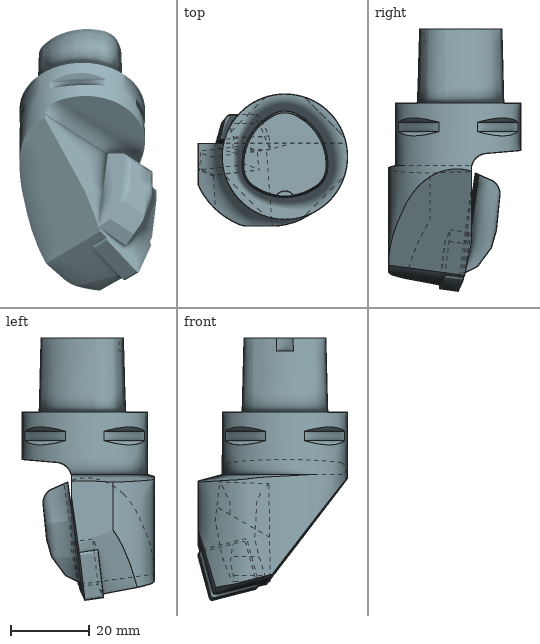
import cadquery as cq
import math


shank_length = 18.95
lobe_reach = 11.65
flank_reach = 10.45
lobe_radius = 6.35
shank_taper = math.degrees(math.atan(0.025))
notch_diameter = 5.15
notch_centre_y = -11.3
notch_depth = 3.4

collar_diameter = 32.0
collar_radius = collar_diameter / 2
collar_height = 15.95
groove_z = -6.1
groove_floor_distance = 14.3
groove_floor_height = 2.35
groove_mouth_height = 4.55
groove_count = 4

head_left = -22.2
head_front = -17.75
head_back = 3.4
head_side_end_y = -7.25
head_bottom = -50.9
shoulder_angle = 15.0
blend_angle = 30.0
blend_start_x = -3.35

chip_roof_rim_z = -12.1
chip_roof_angle = 5.0
chip_corner_radius = 4.0

rake_slope_x = 0.08
rake_slope_z = 0.14
rake_start_z = -21.5

insert_size = 12.7
insert_thickness = 4.8
insert_corner_radius = 0.8
insert_turn = 14.5
insert_tip_x = -19.1
insert_tip_z = -48.25

clamp_height = 7.0
clamp_edge_radius = 3.0
clamp_side_draft = 20.0
clamp_left = 1.55
clamp_right = 15.4
clamp_top = 34.85
clamp_nose = 2.0
clamp_tail_left = 3.35

rake_y_at_tip = (
    head_back
    + rake_slope_x * (insert_tip_x - head_left)
    + rake_slope_z * (insert_tip_z - rake_start_z)
)
insert_tip = cq.Vector(insert_tip_x, rake_y_at_tip, insert_tip_z)
rake_plane = cq.Plane(
    origin=insert_tip,
    xDir=(1, rake_slope_x, 0),
    normal=(rake_slope_x, -1, rake_slope_z),
)
big = 100.5


def polar(radius, angle):
    """Point in the XY plane at an angle in degrees."""
    return (radius * math.cos(math.radians(angle)), radius * math.sin(math.radians(angle)))


def beyond_plane(plane):
    """Block that fills the side of a plane its normal points to."""
    return cq.Workplane(plane).rect(big, big).extrude(big)


def plane_through(first, second, third):
    """Plane through three points, with its normal by the right-hand rule."""
    start = cq.Vector(*first)
    along = cq.Vector(*second) - start
    across = cq.Vector(*third) - start
    return cq.Plane(origin=start, xDir=along, normal=along.cross(across))


def make_shank():
    lobe_centre = lobe_reach - lobe_radius
    reach_gap = flank_reach - lobe_radius
    flank_centre = (lobe_centre**2 - reach_gap**2) / (2 * reach_gap - lobe_centre)
    side = flank_centre * math.sin(math.radians(60))
    rise = lobe_centre + flank_centre * math.cos(math.radians(60))
    span = math.hypot(side, rise)
    joint_x = lobe_radius * side / span
    joint_y = lobe_centre + lobe_radius * rise / span
    joint_radius = math.hypot(joint_x, joint_y)
    joint_angle = math.degrees(math.atan2(joint_x, joint_y))

    outline = cq.Workplane("XY").moveTo(*polar(joint_radius, 90 - joint_angle))
    for lobe_angle in (90, 210, 330):
        outline = outline.threePointArc(
            polar(lobe_reach, lobe_angle), polar(joint_radius, lobe_angle + joint_angle)
        )
        outline = outline.threePointArc(
            polar(flank_reach, lobe_angle + 60), polar(joint_radius, lobe_angle + 120 - joint_angle)
        )
    shank = outline.close().extrude(shank_length, taper=shank_taper)
    notch = (
        cq.Workplane("XY", origin=(0, notch_centre_y, shank_length - notch_depth))
        .circle(notch_diameter / 2)
        .extrude(notch_depth)
    )
    return shank.cut(notch)


def make_collar():
    collar = cq.Workplane("XY").circle(collar_radius).extrude(-collar_height)
    groove = (
        cq.Workplane("XZ")
        .moveTo(groove_floor_distance, groove_z - groove_floor_height / 2)
        .lineTo(collar_radius, groove_z - groove_mouth_height / 2)
        .lineTo(collar_radius, groove_z + groove_mouth_height / 2)
        .lineTo(groove_floor_distance, groove_z + groove_floor_height / 2)
        .close()
        .extrude(collar_radius, both=True)
    )
    for index in range(groove_count):
        collar = collar.cut(groove.rotate((0, 0, 0), (0, 0, 1), 45 + index * 360 / groove_count))
    return collar.cut(make_chip_space())


def make_chip_space():
    roof_drop = (collar_radius - head_back) * math.tan(math.radians(chip_roof_angle))
    return (
        cq.Workplane("YZ")
        .moveTo(collar_radius, chip_roof_rim_z)
        .lineTo(head_back, chip_roof_rim_z - roof_drop)
        .lineTo(head_back, -2 * collar_height)
        .lineTo(collar_radius, -2 * collar_height)
        .close()
        .extrude(collar_radius, both=True)
        .edges(cq.selectors.NearestToPointSelector((0, head_back, chip_roof_rim_z - roof_drop)))
        .fillet(chip_corner_radius)
    )


def make_head_block():
    """Upright prism of the head, topped by the conical shoulder."""
    collar_edge_x = math.sqrt(collar_radius**2 - head_back**2)
    blend_end = polar(collar_radius, blend_angle - 90)
    blend = math.radians(blend_angle)
    blend_radius = (
        collar_radius - blend_start_x * math.sin(blend) + head_front * math.cos(blend)
    ) / (1 - math.cos(blend))
    centre_y = head_front + blend_radius

    def blend_point(angle):
        x, y = polar(blend_radius, angle - 90)
        return (blend_start_x + x, centre_y + y)

    prism = (
        cq.Workplane("XY", origin=(0, 0, -collar_height))
        .moveTo(collar_edge_x, head_back)
        .lineTo(head_left, head_back)
        .lineTo(head_left, head_side_end_y)
        .threePointArc((-18.1, -13.05), (-12.65, -16.9))
        .threePointArc((-11.0, -17.55), (-9.25, head_front))
        .lineTo(blend_start_x, head_front)
        .threePointArc(blend_point(blend_angle / 2), blend_point(blend_angle))
        .lineTo(*blend_end)
        .threePointArc(polar(collar_radius, -blend_angle), (collar_edge_x, head_back))
        .close()
        .extrude(head_bottom + collar_height)
    )
    cone_radius = 2 * collar_radius
    cone_drop = (cone_radius - collar_radius) * math.tan(math.radians(shoulder_angle))
    shoulder = (
        cq.Workplane("XZ")
        .moveTo(0, -collar_height)
        .lineTo(collar_radius, -collar_height)
        .lineTo(cone_radius, -collar_height - cone_drop)
        .lineTo(cone_radius, head_bottom)
        .lineTo(0, head_bottom)
        .close()
        .revolve(360, (0, 0, 0), (0, 1, 0))
    )
    return prism.intersect(shoulder)


def make_head():
    head = make_head_block()
    side_inner = (head_left, 1.6, -33.9)
    side_outer = (head_left, -7.0, -30.3)
    heel = (-17.7, -13.6, -44.75)
    end_left = (-12.65, -16.9, -43.9)
    relief_inner = (-16.55, -4.6, -46.35)
    heel_right = (-3.2, head_front, -41.4)
    toe_right = (-4.7, 1.35, -43.95)
    slope_top = (collar_radius, 0, -16.8)
    side_clearance = plane_through(side_outer, side_inner, heel)
    end_clearance = plane_through(end_left, toe_right, heel_right)
    corner_relief = plane_through(heel, relief_inner, end_left)
    back_slope = plane_through(slope_top, heel_right, toe_right)
    rake = cq.Plane(origin=insert_tip, xDir=rake_plane.xDir, normal=rake_plane.zDir * -1)
    for trim in (side_clearance, end_clearance, corner_relief, back_slope, rake):
        head = head.cut(beyond_plane(trim))
    return head


def make_clamp():
    """Finger clamp that reaches over the insert, with a crowned top."""
    outline = [
        (clamp_tail_left, clamp_top),
        (clamp_left, 20.8),
        (3.2, 11.4),
        (6.9, clamp_nose),
        (clamp_right, clamp_nose),
        (clamp_right, clamp_top),
    ]
    finger = (
        cq.Workplane(rake_plane)
        .polyline(outline)
        .close()
        .extrude(-clamp_height, taper=clamp_side_draft)
        .faces(cq.selectors.DirectionMinMaxSelector(rake_plane.zDir, False))
        .edges()
        .fillet(clamp_edge_radius)
    )
    crown = (
        cq.Workplane("YZ")
        .moveTo(head_front, -17.4)
        .lineTo(4.15, -17.75)
        .lineTo(8.85, -19.8)
        .threePointArc((10.1, -21.2), (10.7, -23.1))
        .lineTo(9.8, -32.5)
        .lineTo(8.5, -36.9)
        .lineTo(4.95, -41.75)
        .lineTo(1.8, -43.3)
        .lineTo(head_front, -43.3)
        .close()
        .extrude(big, both=True)
    )
    return finger.intersect(crown)


def make_insert():
    return (
        cq.Workplane(rake_plane)
        .transformed(rotate=(0, 0, insert_turn))
        .center(insert_size / 2, insert_size / 2)
        .rect(insert_size, insert_size)
        .extrude(insert_thickness)
        .edges(cq.selectors.ParallelDirSelector(rake_plane.zDir))
        .fillet(insert_corner_radius)
    )


insert = make_insert()
holder = make_shank().union(make_collar()).union(make_head()).cut(insert).union(make_clamp())

result = cq.Compound.makeCompound([holder.val(), insert.val()])